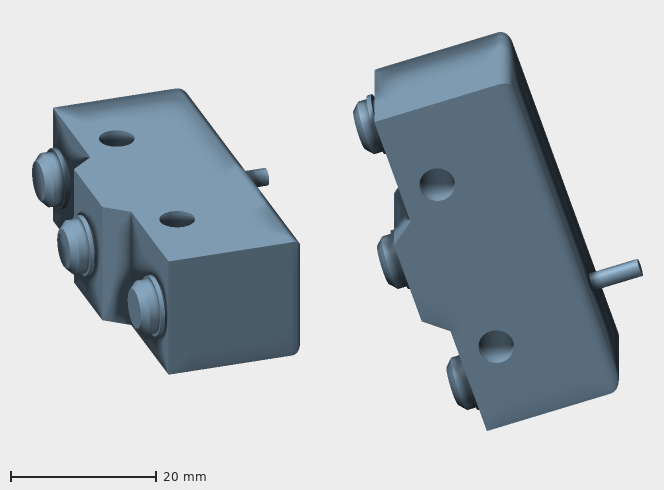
import cadquery as cq

length = 49.2
height = 17.5
depth = 19.6
back_fillet = 1.6
nose_depth = 3.3
nose_root_half_width = 8.7
nose_tip_half_width = 6.05

hole_diameter = 4.9
hole_spacing = 25.8
hole_setback = 5.25

neck_radius = 3.4
collar_radius = 4.25
head_radius = 3.8
head_tip_radius = 2.8
collar_start = 0.5
collar_end = 1.15
head_taper_start = 2.55
screw_length = 3.55
side_screw_x = length / 2 - collar_radius

pin_diameter = 2.45
pin_length = 7.0
pin_x = -11.5


def make_housing():
    """Block with a tapered front nose, rounded back edges and two mounting holes."""
    half_length = length / 2
    outline = [
        (-half_length, depth),
        (-half_length, 0),
        (-nose_root_half_width, 0),
        (-nose_tip_half_width, -nose_depth),
        (nose_tip_half_width, -nose_depth),
        (nose_root_half_width, 0),
        (half_length, 0),
        (half_length, depth),
    ]
    block = cq.Workplane("XY").polyline(outline).close().extrude(height / 2, both=True)
    block = block.faces(">Y").edges().fillet(back_fillet)
    hole_centers = [(-hole_spacing / 2, hole_setback), (hole_spacing / 2, hole_setback)]
    holes = (
        cq.Workplane("XY")
        .pushPoints(hole_centers)
        .circle(hole_diameter / 2)
        .extrude(height, both=True)
    )
    return block.cut(holes)


def make_screw(x, seat_y):
    """Neck, collar and tapered head, turned about Y and standing forward of the seat."""
    half_profile = [
        (0, 0),
        (neck_radius, 0),
        (neck_radius, -collar_start),
        (collar_radius, -collar_start),
        (collar_radius, -collar_end),
        (head_radius, -collar_end),
        (head_radius, -head_taper_start),
        (head_tip_radius, -screw_length),
        (0, -screw_length),
    ]
    screw = cq.Workplane("XY").polyline(half_profile).close().revolve(360, (0, 0), (0, 1))
    return screw.translate((x, seat_y, 0))


def make_pin():
    """Plain round pin standing on the back face of the housing."""
    pin = cq.Workplane("XZ").circle(pin_diameter / 2).extrude(-pin_length)
    return pin.translate((pin_x, depth, 0))


housing = make_housing()
pin = make_pin()

screw_seats = [(-side_screw_x, 0), (0, -nose_depth), (side_screw_x, 0)]
screws = []
for seat_x, seat_y in screw_seats:
    screws.append(make_screw(seat_x, seat_y).val())

result = cq.Compound.makeCompound([housing.val(), pin.val(), *screws])